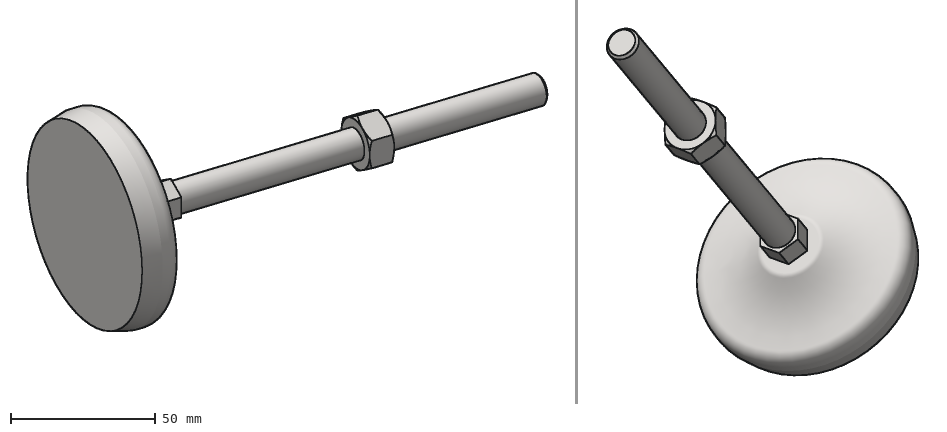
import cadquery as cq
import math


foot_radius = 40.0
floor_radius = 38.2
taper_height = 7.25
shoulder_start = 10.5
shoulder_radius = 4.5
shoulder_slope = 6.0
crown_slope = 35.0
crown_radius = 2.8
crown_flat_radius = 10.7
foot_height = 24.5

neck_diameter = 10.0
stud_diameter = 12.0
stud_end = 185.0
tip_chamfer = 1.0

hexagon_sides = 6
collar_flats = 14.0
collar_start = 26.0
collar_length = 9.0
nut_flats = 19.0
nut_start = 110.0
nut_length = 10.0
nut_chamfer_angle = 30.0


def revolve_about_axis(half_profile):
    """Turn a closed half profile in the XY plane once round the Y axis."""
    return half_profile.revolve(360, (0, 0, 0), (0, 1, 0))


def make_foot():
    """Revolve the foot plate with its hollow flank about the Y axis."""
    shoulder_angle = math.radians(shoulder_slope)
    crown_angle = math.radians(crown_slope)
    shoulder_end = (
        foot_radius - shoulder_radius * (1 - math.sin(shoulder_angle)),
        shoulder_start + shoulder_radius * math.cos(shoulder_angle),
    )
    crown_start = (
        crown_flat_radius + crown_radius * math.sin(crown_angle),
        foot_height - crown_radius * (1 - math.cos(crown_angle)),
    )
    return revolve_about_axis(
        cq.Workplane("XY")
        .lineTo(floor_radius, 0)
        .lineTo(foot_radius, taper_height)
        .lineTo(foot_radius, shoulder_start)
        .radiusArc(shoulder_end, -shoulder_radius)
        .tangentArcPoint(crown_start, relative=False)
        .radiusArc((crown_flat_radius, foot_height), -crown_radius)
        .lineTo(0, foot_height)
        .close()
    )


def cross_section(height):
    """Workplane across the axis at the given Y, drawing towards +Y."""
    return cq.Workplane(cq.Plane(origin=(0, height, 0), xDir=(0, 0, 1), normal=(0, 1, 0)))


def hexagon_corner_radius(flats):
    """Radius of the circle through the corners of a hexagon."""
    half_side_angle = math.pi / hexagon_sides
    return flats / 2 / math.cos(half_side_angle)


def hexagon(flats, start, length):
    """Hexagonal prism with two of its corners on the Z axis."""
    corner_diameter = 2 * hexagon_corner_radius(flats)
    return cross_section(start).polygon(hexagon_sides, corner_diameter).extrude(length)


def make_stud():
    """Thin neck out of the foot, then the full rod with a chamfered tip."""
    neck = cross_section(foot_height).circle(neck_diameter / 2).extrude(collar_start - foot_height)
    rod = cross_section(collar_start).circle(stud_diameter / 2).extrude(stud_end - collar_start)
    rod = rod.faces(">Y").chamfer(tip_chamfer)
    return neck.union(rod)


def make_nut():
    """Hexagon nut whose corners are turned off conically at both ends."""
    face_radius = nut_flats / 2
    corner_radius = hexagon_corner_radius(nut_flats)
    chamfer_depth = (corner_radius - face_radius) * math.tan(math.radians(nut_chamfer_angle))
    nut_end = nut_start + nut_length
    turned_blank = revolve_about_axis(
        cq.Workplane("XY")
        .moveTo(0, nut_start)
        .lineTo(face_radius, nut_start)
        .lineTo(corner_radius, nut_start + chamfer_depth)
        .lineTo(corner_radius, nut_end - chamfer_depth)
        .lineTo(face_radius, nut_end)
        .lineTo(0, nut_end)
        .close()
    )
    return hexagon(nut_flats, nut_start, nut_length).intersect(turned_blank)


collar = hexagon(collar_flats, collar_start, collar_length)
result = make_foot().union(make_stud()).union(collar).union(make_nut())